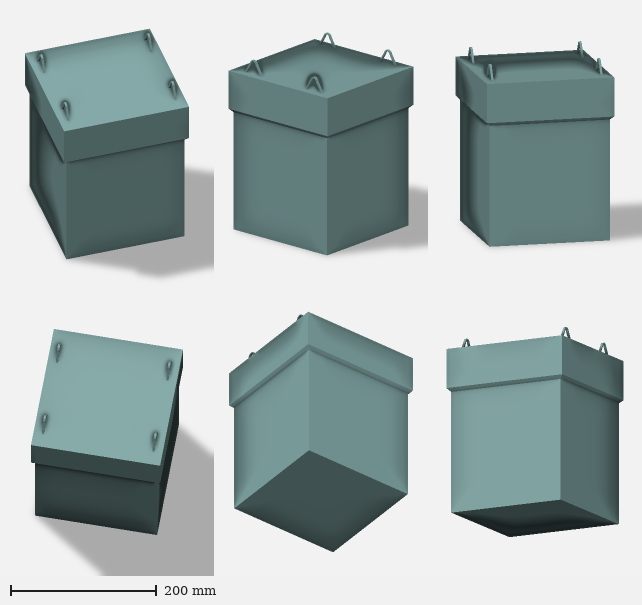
import cadquery as cq
import math

body_width = 170.0
body_height = 170.0
cap_width = 180.0
cap_underside_rise = (cap_width - body_width) / 2
cap_side_height = 55.0
cap_top = body_height + cap_underside_rise + cap_side_height

loop_height = 20.0
loop_half_span = 15.0
loop_thickness = 2.0
loop_depth = 3.0
bend_radius = 6.0
bend_end_angle = math.radians(15)
loop_x = 55.0
loop_y = 77.0
loop_embed = 1.2


def make_block():
    body = cq.Workplane("XY").box(body_width, body_width, body_height, centered=(True, True, False))
    underside = (
        cq.Workplane("XY", origin=(0, 0, body_height))
        .rect(body_width, body_width)
        .workplane(offset=cap_underside_rise)
        .rect(cap_width, cap_width)
        .loft(ruled=True)
    )
    cap = (
        cq.Workplane("XY", origin=(0, 0, body_height + cap_underside_rise))
        .box(cap_width, cap_width, cap_side_height, centered=(True, True, False))
    )
    return body.union(underside).union(cap)


def make_loop(x, y):
    """Inverted V strip with a round peak meeting the legs at slight kinks, in the XZ plane."""
    bend_center = loop_height - bend_radius
    inner_radius = bend_radius - loop_thickness
    outer_x = bend_radius * math.cos(bend_end_angle)
    outer_z = bend_center + bend_radius * math.sin(bend_end_angle)
    leg_slope = (loop_half_span - outer_x) / outer_z
    foot_outer = loop_half_span + loop_embed * leg_slope
    foot_inner = foot_outer - loop_thickness * math.hypot(1, leg_slope)
    return (
        cq.Workplane("XZ", origin=(x, y, cap_top))
        .moveTo(-foot_outer, -loop_embed)
        .lineTo(-outer_x, outer_z)
        .threePointArc((0, loop_height), (outer_x, outer_z))
        .lineTo(foot_outer, -loop_embed)
        .lineTo(foot_inner, -loop_embed)
        .lineTo(inner_radius, bend_center)
        .threePointArc((0, bend_center + inner_radius), (-inner_radius, bend_center))
        .lineTo(-foot_inner, -loop_embed)
        .close()
        .extrude(loop_depth / 2, both=True)
    )


result = make_block()
for side_x in (-1, 1):
    for side_y in (-1, 1):
        result = result.union(make_loop(side_x * loop_x, side_y * loop_y))